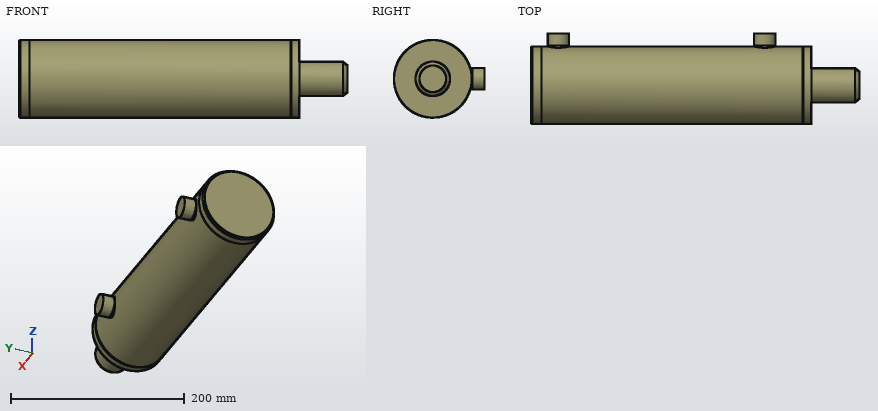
import cadquery as cq

overall_length = 380.0
barrel_diameter = 90.0
barrel_radius = barrel_diameter / 2
rod_projection = 56.0
gland_end = overall_length / 2 - rod_projection
cap_end = -overall_length / 2

cap_length = 12.0
cap_chamfer = 2.0
gland_length = 9.0
ring_length = 1.0

barrel_start = cap_end + cap_length
ring_end = gland_end - gland_length
barrel_end = ring_end - ring_length

rod_diameter = 40.0
rod_chamfer_length = 5.7
rod_chamfer_depth = 4.5

port_diameter = 25.0
port_height = 15.0
pad_height = 0.8
port_centers = [cap_end + 32.0, cap_end + 270.0]


def cylinder_between(start, end, diameter):
    """Solid cylinder on the X axis from start to end."""
    return cq.Workplane("YZ", origin=(start, 0, 0)).circle(diameter / 2).extrude(end - start)


def make_cap():
    """Closed end cap with a chamfered outer rim."""
    return cylinder_between(cap_end, barrel_start, barrel_diameter).faces("<X").chamfer(cap_chamfer)


def port_cylinder(center, start, end):
    """Solid cylinder of port diameter, parallel to Y, from start to end."""
    return cq.Workplane("XZ", origin=(center, start, 0)).circle(port_diameter / 2).extrude(start - end)


def make_barrel():
    """Barrel with a low flat pad under each port."""
    body = cylinder_between(barrel_start, barrel_end, barrel_diameter)
    for center in port_centers:
        body = body.union(port_cylinder(center, 0, barrel_radius + pad_height))
    return body


def make_collar(start, end):
    """Collar flush with the barrel and bored to fit the rod."""
    return cylinder_between(start, end, barrel_diameter).faces(">X").workplane().hole(rod_diameter)


def make_rod():
    """Rod from the barrel face through both collars, with a chamfered tip."""
    tip_radius = rod_diameter / 2 - rod_chamfer_depth
    shoulder = overall_length / 2 - rod_chamfer_length
    profile = (
        cq.Workplane("XY")
        .moveTo(barrel_end, 0)
        .lineTo(barrel_end, rod_diameter / 2)
        .lineTo(shoulder, rod_diameter / 2)
        .lineTo(overall_length / 2, tip_radius)
        .lineTo(overall_length / 2, 0)
        .close()
    )
    return profile.revolve(360, (0, 0, 0), (1, 0, 0))


def make_port(center):
    """Round flat-footed port standing on its pad."""
    return port_cylinder(center, barrel_radius + pad_height, barrel_radius + port_height)


cap = make_cap()
barrel = make_barrel()
ring = make_collar(barrel_end, ring_end)
gland = make_collar(ring_end, gland_end)
rod = make_rod()
ports = [make_port(center) for center in port_centers]

result = cq.Compound.makeCompound(
    [cap.val(), barrel.val(), ring.val(), gland.val(), rod.val()] + [port.val() for port in ports]
)